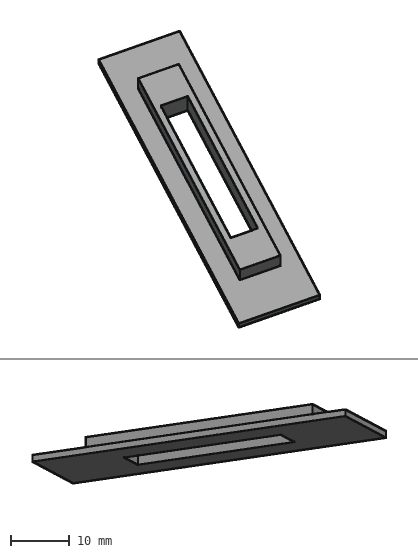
import cadquery as cq

plate_length = 60.0
plate_width = 15.0
plate_thickness = 1.2

boss_length = 43.5
boss_width = plate_width / 2
total_height = 4.2

window_length = plate_length / 2
window_width = 5.0

plate = cq.Workplane("XY").rect(plate_length, plate_width).extrude(plate_thickness)
boss = cq.Workplane("XY").rect(boss_length, boss_width).extrude(total_height)
window = cq.Workplane("XY").rect(window_length, window_width).extrude(total_height)

result = plate.union(boss).cut(window)